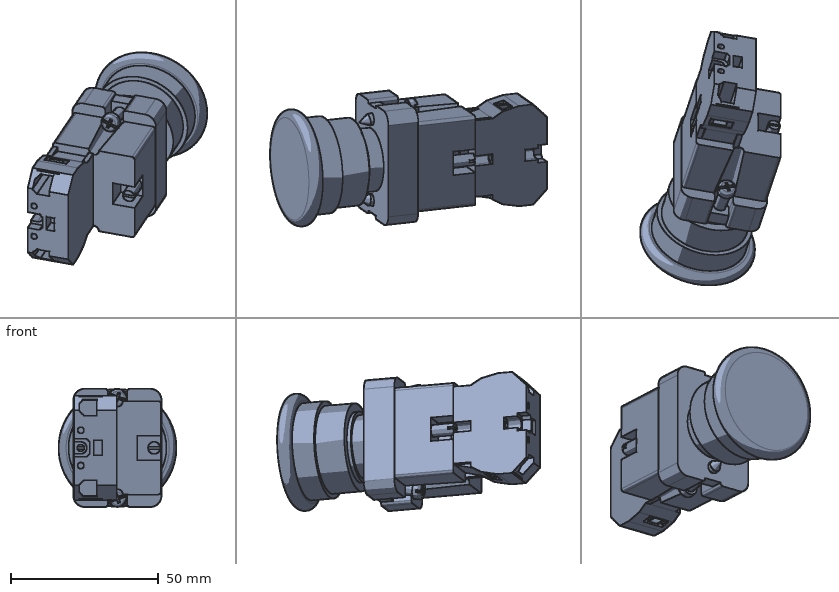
import cadquery as cq
import math


cap_diameter = 40.0
cap_thickness = 5.0
skirt_diameter = 33.2
skirt_length = 7.75
collar_diameter = 30.0
collar_length = 10.3
washer_diameter = 24.2
washer_thickness = 1.3
neck_diameter = 21.7
neck_length = 5.6

flange_width = 29.95
flange_height = 40.2
flange_thickness = 10.9
flange_corner_radius = 4.0
housing_width = 29.4
housing_height = 31.7
housing_depth = 21.2
block_seat_depth = 0.3
housing_edge_radius = 1.1
housing_front_y = -flange_thickness - housing_depth
block_seat_y = housing_front_y + block_seat_depth

notch_half_width = 3.3
notch_lip_radius = 1.0
notch_center_z = housing_height / 2
bridge_thickness = 4.5
bridge_top_z = 18.9
channel_rear_radius = 3.4
channel_front_radius = 1.85

screw_tilt = 10.0
screw_tip_y = 4.7
screw_tip_z = 13.5
shank_diameter = 4.05
shank_length = 18.3
tip_length = 3.5
head_diameter = 6.2
head_thickness = 2.7
head_edge_radius = 0.9
cross_length = 3.2
cross_width = 0.8
cross_depth = 1.4
cross_angle = 20.0

pocket_depth = 8.0
pocket_height = 8.3
pocket_rear_y = block_seat_y + pocket_depth
pocket_inner_x = 6.8
terminal_x = 12.4
terminal_diameter = 4.1
slot_width = 0.8
slot_depth = 1.9

block_left_x = -housing_width / 2
block_right_x = -0.2
block_length = 26.2
block_front_y = block_seat_y - block_length
block_rear_half_height = 14.3
block_bend_half_height = 16.4
block_half_height = 17.7
block_front_half_height = 12.7
rear_step_length = 6.25
bend_length = 9.95
crest_start_length = 15.95
crest_end_length = 21.05

ramp_outer_x = -12.95
ramp_inner_x = -1.9
ramp_depth = 1.6

port_left_x = -12.95
port_right_x = -7.0
port_bottom_z = 10.9
port_top_z = 16.6
port_chamfer = 1.6

window_right_x = -5.1
window_rear_length = 10.6
window_front_length = 14.1
window_depth = 1.5
window_rear_ledge = 0.5
port_depth = block_length - window_rear_length - window_rear_ledge

label_offset = 0.3
label_length = 0.2
label_step = 0.2

probe_diameter = 2.1
probe_z = 6.0
probe_depth = 5.0

key_slot_left_x = -8.1
key_slot_height = 5.1
key_slot_depth = 5.0

tongue_length = 2.8
tongue_chamfer = 0.6

access_recess_inner_x = -9.3
access_recess_height = 6.2
access_recess_depth = 3.3
access_recess_chamfer = 1.15
access_slot_height = 4.05
access_slot_depth = 8.0
access_bore_diameter = 2.3
rear_slot_height = 3.5


def box(x_range, y_range, z_range):
    """Axis-aligned box between the given limits, each pair in either order."""
    spans = [sorted(pair) for pair in (x_range, y_range, z_range)]
    sizes = [high - low for low, high in spans]
    corner = tuple(low for low, high in spans)
    return cq.Workplane("XY").box(*sizes, centered=False).translate(corner)


def front_plane(y):
    """Plane at the given Y with local axes X and Z, extruding towards -Y."""
    return cq.Workplane("XZ", origin=(0, y, 0))


def extrude_profile(outline, left_x, right_x):
    """Extrude a closed outline of (Y, Z) points from one X to another."""
    return cq.Workplane("YZ", origin=(left_x, 0, 0)).polyline(outline).close().extrude(right_x - left_x)


def side_slot(height, front_y, depth):
    """Round-ended slot around the left terminal axis, open on the left side."""
    end = front_plane(front_y + depth).center(-terminal_x, 0).circle(height / 2).extrude(depth)
    opening = box((-terminal_x, -flange_width), (front_y, front_y + depth), (-height / 2, height / 2))
    return end.union(opening)


def make_button_head():
    steps = [
        (neck_diameter, neck_length),
        (washer_diameter, washer_thickness),
        (collar_diameter, collar_length),
        (skirt_diameter, skirt_length),
    ]
    rim_radius = cap_thickness / 2
    flat_radius = cap_diameter / 2 - rim_radius
    y = 0
    outline = cq.Workplane("XY").moveTo(0, y)
    for diameter, length in steps:
        outline = outline.lineTo(diameter / 2, y)
        y += length
        outline = outline.lineTo(diameter / 2, y)
    outline = (
        outline.lineTo(flat_radius, y)
        .threePointArc((cap_diameter / 2, y + rim_radius), (flat_radius, y + cap_thickness))
        .lineTo(0, y + cap_thickness)
        .close()
    )
    return outline.revolve(360, (0, 0, 0), (0, 1, 0))


def place_mounting_screw(body, side):
    """Tilt a shape built along Y with its tip at the origin; side is +1 (top) or -1 (bottom)."""
    tilted = body.rotate((0, 0, 0), (1, 0, 0), -side * screw_tilt)
    return tilted.translate((0, screw_tip_y, side * screw_tip_z))


def screw_shank():
    """Pointed shank running from its tip at the origin towards -Y."""
    radius = shank_diameter / 2
    outline = [(0, 0), (radius, -tip_length), (radius, -shank_length), (0, -shank_length)]
    return cq.Workplane("XY").polyline(outline).close().revolve(360, (0, 0, 0), (0, 1, 0))


def make_mounting_screw(side):
    """Pan-head screw with a full-width slot crossed by a short one."""
    head = front_plane(-shank_length).circle(head_diameter / 2).extrude(head_thickness)
    head = head.faces("<Y").edges().fillet(head_edge_radius)
    floor = front_plane(cross_depth - shank_length - head_thickness)
    long_slot = floor.rect(head_diameter, cross_width).extrude(cross_depth)
    short_slot = floor.rect(cross_width, cross_length).extrude(cross_depth)
    cross = long_slot.union(short_slot).rotate((0, 0, 0), (0, 1, 0), side * cross_angle)
    return place_mounting_screw(screw_shank().union(head).cut(cross), side)


def screw_notch(side):
    """Round-bottomed notch in front of the bridge, with a rounded lip at the flange edge."""
    edge_z = flange_height / 2
    lip_half_width = notch_half_width + notch_lip_radius
    lip_start_z = edge_z - notch_lip_radius
    bend = notch_lip_radius * (1 - math.sqrt(0.5))
    outline = (
        front_plane(0)
        .moveTo(-notch_half_width, notch_center_z)
        .lineTo(-notch_half_width, lip_start_z)
        .threePointArc((-notch_half_width - bend, edge_z - bend), (-lip_half_width, edge_z))
        .lineTo(lip_half_width, edge_z)
        .threePointArc((notch_half_width + bend, edge_z - bend), (notch_half_width, lip_start_z))
        .lineTo(notch_half_width, notch_center_z)
        .threePointArc((0, notch_center_z - notch_half_width), (-notch_half_width, notch_center_z))
        .close()
    )
    notch = outline.extrude(flange_thickness)
    bridge = box((-notch_half_width, notch_half_width), (0, -bridge_thickness), (0, bridge_top_z))
    notch = notch.cut(bridge)
    if side < 0:
        notch = notch.mirror("XY")
    return notch


def screwdriver_channel(side):
    """Tapered channel along the housing face, in line with the screw head."""
    return (
        front_plane(-flange_thickness)
        .center(0, side * notch_center_z)
        .circle(channel_rear_radius)
        .workplane(offset=housing_depth)
        .circle(channel_front_radius)
        .loft()
    )


def terminal_pocket(side):
    return box(
        (side * pocket_inner_x, side * housing_width),
        (housing_front_y, pocket_rear_y),
        (-pocket_height / 2, pocket_height / 2),
    )


def make_base():
    flange = front_plane(0).rect(flange_width, flange_height).extrude(flange_thickness)
    flange = flange.edges("|Y").fillet(flange_corner_radius)
    housing = front_plane(-flange_thickness).rect(housing_width, housing_height).extrude(housing_depth)
    housing = housing.edges("|Y").fillet(housing_edge_radius)
    block_seat = box(
        (-housing_width, block_right_x),
        (block_seat_y, housing_front_y),
        (-housing_height, housing_height),
    )
    base = flange.union(housing.cut(block_seat))
    for side in (1, -1):
        base = base.cut(screw_notch(side))
        base = base.cut(screwdriver_channel(side))
        base = base.cut(place_mounting_screw(screw_shank(), side))
        base = base.cut(terminal_pocket(side))
    return base


def make_terminal_screw(side):
    """Slotted cylinder standing on the back wall of its pocket, ending level with the block seat."""
    screw = (
        front_plane(pocket_rear_y)
        .center(side * terminal_x, 0)
        .circle(terminal_diameter / 2)
        .extrude(pocket_depth)
    )
    slot = (
        front_plane(block_seat_y + slot_depth)
        .center(side * terminal_x, 0)
        .rect(terminal_diameter, slot_width)
        .extrude(slot_depth)
    )
    return screw.cut(slot)


def block_body():
    """Side profile in Y and Z, symmetric about Z = 0, extruded over the block width."""
    upper = [
        (0, block_rear_half_height),
        (rear_step_length, block_rear_half_height),
        (bend_length, block_bend_half_height),
        (crest_start_length, block_half_height),
        (crest_end_length, block_half_height),
        (block_length, block_front_half_height),
    ]
    lower = [(length, -z) for length, z in reversed(upper)]
    outline = [(block_seat_y - length, z) for length, z in upper + lower]
    return extrude_profile(outline, block_left_x, block_right_x)


def rear_ramp(side):
    """Sunken ramp that is deepest against the housing."""
    outline = [
        (block_seat_y, side * block_rear_half_height),
        (block_seat_y, side * (block_rear_half_height - ramp_depth)),
        (block_seat_y - rear_step_length, side * block_rear_half_height),
    ]
    return extrude_profile(outline, ramp_outer_x, ramp_inner_x)


def wire_port(side):
    """Wire opening in the sloped front, with its two left corners cut off."""
    outline = [
        (port_right_x, side * port_bottom_z),
        (port_right_x, side * port_top_z),
        (port_left_x + port_chamfer, side * port_top_z),
        (port_left_x, side * (port_top_z - port_chamfer)),
        (port_left_x, side * (port_bottom_z + port_chamfer)),
        (port_left_x + port_chamfer, side * port_bottom_z),
    ]
    return front_plane(block_front_y + port_depth).polyline(outline).close().extrude(port_depth)


def inspection_window(side):
    """Shallow window in the sloped crest with a deeper opening down to the wire port."""
    rear_y = block_seat_y - window_rear_length
    front_y = block_seat_y - window_front_length
    outer_z = side * block_half_height
    shallow = box((port_left_x, window_right_x), (rear_y, front_y), (outer_z, outer_z - side * window_depth))
    deep = box(
        (port_left_x + port_chamfer, port_right_x),
        (rear_y - window_rear_ledge, front_y),
        (outer_z, side * port_bottom_z),
    )
    return shallow.union(deep)


def label_recess(side):
    """Shallow wedge cut in the sloped front, deepest next to the crest and fading out."""
    slope = (block_half_height - block_front_half_height) / (block_length - crest_end_length)
    crest_y = block_seat_y - crest_end_length
    start_z = block_half_height - label_offset * slope
    end_z = start_z - label_length * slope
    start_y = crest_y - label_offset
    outline = [
        (start_y, side * start_z),
        (start_y, side * (start_z - label_step)),
        (start_y - label_length, side * end_z),
    ]
    return extrude_profile(outline, port_left_x, window_right_x)


def contact_tongue():
    """Tongue with a chamfered tip that lies on the inner wall of the left terminal pocket."""
    tongue = box(
        (key_slot_left_x, -pocket_inner_x),
        (block_seat_y, block_seat_y + tongue_length),
        (-key_slot_height / 2, key_slot_height / 2),
    )
    return tongue.edges("|X and >Y").chamfer(tongue_chamfer)


def access_recess():
    """Recess with two cut corners in the front face around the screwdriver access slot."""
    recess = box(
        (access_recess_inner_x, -flange_width),
        (block_front_y, block_front_y + access_recess_depth),
        (-access_recess_height / 2, access_recess_height / 2),
    )
    return recess.edges("|Y and >X").chamfer(access_recess_chamfer)


def make_contact_block():
    block = block_body()
    for side in (1, -1):
        block = block.cut(rear_ramp(side)).cut(wire_port(side))
        block = block.cut(inspection_window(side)).cut(label_recess(side))
        probe = front_plane(block_front_y + probe_depth).center(-terminal_x, side * probe_z)
        block = block.cut(probe.circle(probe_diameter / 2).extrude(probe_depth))
    lower_corner = box(
        (ramp_outer_x, block_left_x),
        (block_seat_y, block_seat_y - rear_step_length),
        (-block_rear_half_height, ramp_depth - block_rear_half_height),
    )
    key_slot = box(
        (key_slot_left_x, window_right_x),
        (block_front_y, block_front_y + key_slot_depth),
        (-key_slot_height / 2, key_slot_height / 2),
    )
    bore = front_plane(block_seat_y).center(-terminal_x, 0).circle(access_bore_diameter / 2)
    block = block.cut(lower_corner).cut(key_slot).cut(bore.extrude(block_length))
    block = block.cut(side_slot(rear_slot_height, block_seat_y - rear_step_length, rear_step_length))
    block = block.cut(side_slot(access_slot_height, block_front_y, access_slot_depth))
    return block.cut(access_recess()).union(contact_tongue())


button_head = make_button_head()
base = make_base()
contact_block = make_contact_block()
mounting_screws = [make_mounting_screw(side) for side in (1, -1)]
terminal_screws = [make_terminal_screw(side) for side in (1, -1)]

result = cq.Compound.makeCompound(
    [
        button_head.val(),
        base.val(),
        contact_block.val(),
        *[screw.val() for screw in mounting_screws],
        *[screw.val() for screw in terminal_screws],
    ]
)